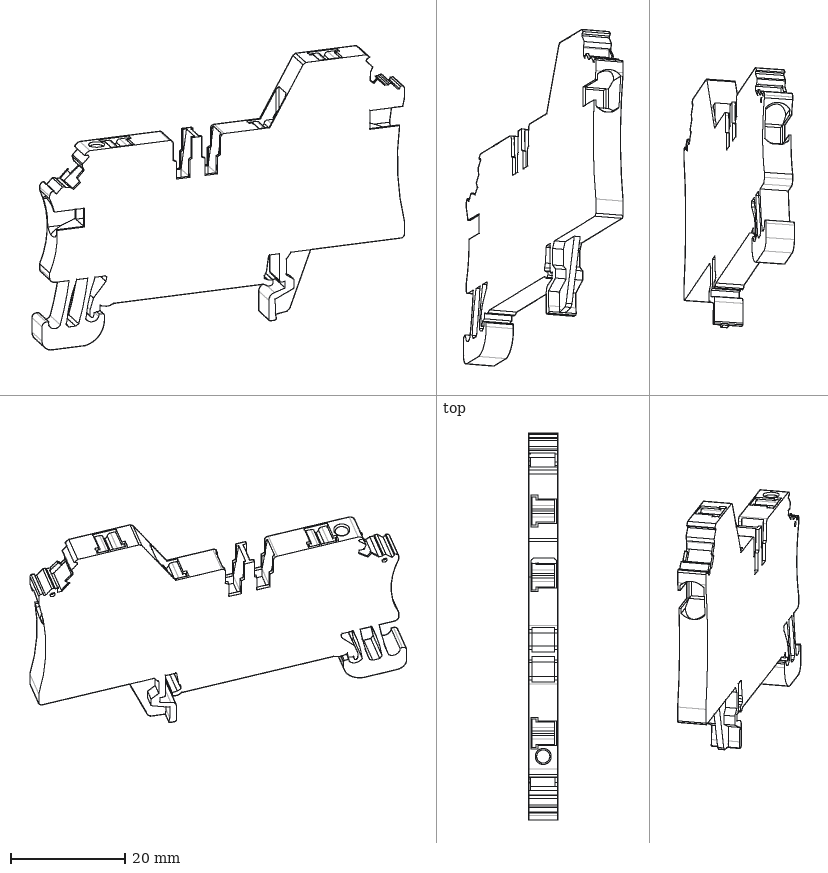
import cadquery as cq

WIDTH = 5.1
LENGTH = 67.83
HEIGHT = 47.55

BODY_FLOOR = 12.53
BASE_FLOOR = 7.2
DECK = 36.25
NEAR_END = 1.43
SLOPE_FOOT_Y = 42.6
SLOPE_HEAD_Y = 49.0
TIP_CHAMFER = 0.35
CORNER_CHAMFER = 0.45
CORNER_RADIUS = 0.95
ARC_OFFSET = 1 - 0.5 ** 0.5


def extrude_across(sketch, x_from=0.0, x_to=WIDTH):
    """Extrude a closed sketch of the YZ plane between two X positions."""
    return sketch.extrude(x_to - x_from).translate((x_from, 0, 0))


def plate(points, x_from=0.0, x_to=WIDTH):
    """Prism across the thickness over a straight-sided outline of (Y, Z) points."""
    return extrude_across(cq.Workplane("YZ").polyline(points).close(), x_from, x_to)


def box(x_from, x_to, y_from, y_to, z_from, z_to):
    """Axis-aligned box between pairs of limits."""
    size = (x_to - x_from, y_to - y_from, z_to - z_from)
    return cq.Workplane("XY").box(*size, centered=False).translate((x_from, y_from, z_from))


HIGH_EDGE = [
    (60.64, HEIGHT), (61.33, 47.0), (60.75, 46.7), (60.66, 46.41), (61.88, 45.09),
    (61.48, 44.23), (61.48, 44.03), (64.11, 41.42), (64.77, 41.42), (65.01, 41.6),
    (65.44, 41.6), (66.56, 40.38), (66.9, 40.38), (67.03, 40.85), (67.58, 40.85), (LENGTH, 40.5),
]
LOW_EDGE = [
    (2.3, 29.4), (2.68, 28.97), (3.82, 30.13), (4.31, 30.13),
    (4.44, 29.93), (5.17, 29.93), (7.85, 32.7), (7.5, 33.7), (7.59, 33.95),
    (8.81, 35.14), (8.62, 35.45), (7.98, 35.45),
]
FAR_WAIST = (66.5, 27.07)
FAR_ARC_TOP = 38.6
FAR_ARC_FLOOR = 2 * FAR_WAIST[1] - FAR_ARC_TOP
NEAR_WAIST = (2.85, 21.3)
NEAR_ARC_TOP = 28.2
NEAR_ARC_FLOOR = 2 * NEAR_WAIST[1] - NEAR_ARC_TOP
NOSE_START = (NEAR_END, 28.7)
NOSE_MIDDLE = (1.6, 29.25)
NOSE_TIP = (2.2, 29.65)
DECK_ROUND_MIDDLE = (8.4, 35.98)
DECK_ROUND_END = (8.95, DECK)


def make_main_plate():
    outline = (
        cq.Workplane("YZ")
        .moveTo(SLOPE_FOOT_Y, DECK)
        .lineTo(SLOPE_HEAD_Y - TIP_CHAMFER / 2, HEIGHT - TIP_CHAMFER)
        .lineTo(SLOPE_HEAD_Y + TIP_CHAMFER, HEIGHT)
    )
    for point in HIGH_EDGE:
        outline = outline.lineTo(*point)
    outline = (
        outline.lineTo(LENGTH, FAR_ARC_TOP)
        .threePointArc(FAR_WAIST, (LENGTH, FAR_ARC_FLOOR))
        .lineTo(LENGTH, BODY_FLOOR + CORNER_CHAMFER)
        .lineTo(LENGTH - CORNER_CHAMFER, BODY_FLOOR)
        .lineTo(NEAR_END + CORNER_RADIUS, BODY_FLOOR)
        .threePointArc(
            (NEAR_END + CORNER_RADIUS * ARC_OFFSET, BODY_FLOOR + CORNER_RADIUS * ARC_OFFSET),
            (NEAR_END, BODY_FLOOR + CORNER_RADIUS),
        )
        .lineTo(NEAR_END, NEAR_ARC_FLOOR)
        .threePointArc(NEAR_WAIST, (NEAR_END, NEAR_ARC_TOP))
        .lineTo(*NOSE_START)
        .threePointArc(NOSE_MIDDLE, NOSE_TIP)
    )
    for point in LOW_EDGE:
        outline = outline.lineTo(*point)
    outline = outline.threePointArc(DECK_ROUND_MIDDLE, DECK_ROUND_END)
    return extrude_across(outline.close())


FOOT_LINE = [
    (46.6, BODY_FLOOR), (45.71, 11.35), (45.71, 8.39), (47.13, 7.41), (47.13, 5.74),
    (43.6, 4.15), (43.68, 1.5), (43.86, 0.44), (43.52, 0.21), (42.61, 0.21), (42.42, 0.44),
]
FOOT_BEND_START = (42.42, 4.1)
FOOT_BEND_MIDDLE = (42.8, 5.0)
FOOT_BEND_END = (43.5, 5.4)
FOOT_HOOK_FLOOR = (45.49, 6.0)
FOOT_HOOK_TOP = (45.49, BASE_FLOOR)
FOOT_INNER_Y = 44.46
FOOT_CORNER_TOP = (FOOT_INNER_Y, 7.5)
FOOT_CORNER_END = (44.56, BASE_FLOOR)
WEB_OUTLINE = [
    (51.3, BODY_FLOOR), (47.13, 1.35), (46.55, 0.82), (43.8, 0.44),
    (43.6, 4.15), (47.13, 5.74), (47.13, 7.41), (45.71, 8.39), (45.71, BODY_FLOOR),
]
WEB_RECESS = 2.0


def make_rail_foot():
    outline = cq.Workplane("YZ").moveTo(FOOT_INNER_Y, BODY_FLOOR)
    for point in FOOT_LINE + [FOOT_BEND_START]:
        outline = outline.lineTo(*point)
    outline = (
        outline.threePointArc(FOOT_BEND_MIDDLE, FOOT_BEND_END)
        .lineTo(*FOOT_HOOK_FLOOR)
        .lineTo(*FOOT_HOOK_TOP)
        .lineTo(*FOOT_CORNER_END)
        .lineTo(*FOOT_CORNER_TOP)
        .close()
    )
    web = plate(WEB_OUTLINE, WEB_RECESS, WIDTH - WEB_RECESS)
    return extrude_across(outline).union(web)


BASE_LIP = [
    (42.58, BODY_FLOOR), (42.39, 12.26), (42.01, 9.53), (41.6, 8.77), (41.6, 8.24), (42.31, 7.9),
    (43.22, 7.79), (43.22, 7.1), (42.84, 6.77), (42.16, 6.77), (41.48, BASE_FLOOR),
]
BASE_HOOK = [
    (13.47, BASE_FLOOR), (12.56, 6.85), (12.03, 6.85), (11.2, 7.0), (10.89, BASE_FLOOR),
    (10.85, 6.16), (9.76, 5.94), (9.6, 5.13), (9.23, 5.13), (9.01, 5.44), (9.01, 6.65),
    (9.62, 8.7), (11.95, 11.5), (12.1, 12.3), (11.88, BODY_FLOOR),
]


def make_base_block():
    return plate(BASE_LIP + BASE_HOOK)


REAR_LEG_OUTER = [(9.91, BODY_FLOOR), (8.85, 9.0), (8.2, 5.0)]
REAR_LEG_INNER = [(8.55, BODY_FLOOR), (7.75, 7.8), (6.85, 4.25)]
FRONT_LEG_OUTER = [(6.5, BODY_FLOOR), (5.2, 8.2), (4.55, 4.5)]
FRONT_LEG_INNER = [(5.05, BODY_FLOOR), (4.35, 8.4), (3.4, 4.5)]
SHOE_HEIGHT = 5.33
SHOE_CORNER = 1.86
SHOE_TIP_RADIUS = 0.8
SHOE_TIP_WIDTH = 1.27
SHOE_TOE_HOLLOW = (2.45, 3.9)
SHOE_FLAT_Y = (4.98, 6.27)
SHOE_FLAT_Z = 3.89
SHOE_HOLLOW = (9.3, 4.3)
SHOE_HEEL = [(10.6, 5.13), (10.68, 5.6), (11.5, 5.54), (11.68, 5.29), (11.68, 4.6)]
SHOE_BELLY_MIDDLE = (10.6, 1.45)
SHOE_BELLY_END = (8.01, 0)


def make_clip_leg(outer, inner):
    outline = (
        cq.Workplane("YZ")
        .moveTo(*outer[0])
        .threePointArc(outer[1], outer[2])
        .lineTo(*inner[2])
        .threePointArc(inner[1], inner[0])
        .close()
    )
    return extrude_across(outline)


def make_clip_shoe():
    outline = (
        cq.Workplane("YZ")
        .moveTo(*REAR_LEG_OUTER[2])
        .threePointArc(SHOE_HOLLOW, SHOE_HEEL[0])
    )
    for point in SHOE_HEEL[1:]:
        outline = outline.lineTo(*point)
    outline = (
        outline.threePointArc(SHOE_BELLY_MIDDLE, SHOE_BELLY_END)
        .lineTo(SHOE_CORNER, 0)
        .threePointArc((SHOE_CORNER * ARC_OFFSET, SHOE_CORNER * ARC_OFFSET), (0, SHOE_CORNER))
        .lineTo(0, SHOE_HEIGHT - SHOE_TIP_RADIUS)
        .threePointArc(
            (SHOE_TIP_RADIUS * ARC_OFFSET, SHOE_HEIGHT - SHOE_TIP_RADIUS * ARC_OFFSET),
            (SHOE_TIP_RADIUS, SHOE_HEIGHT),
        )
        .lineTo(SHOE_TIP_WIDTH, SHOE_HEIGHT)
        .threePointArc(SHOE_TOE_HOLLOW, FRONT_LEG_INNER[2])
        .lineTo(*FRONT_LEG_OUTER[2])
        .lineTo(SHOE_FLAT_Y[0], SHOE_FLAT_Z)
        .lineTo(SHOE_FLAT_Y[1], SHOE_FLAT_Z)
        .lineTo(*REAR_LEG_INNER[2])
        .close()
    )
    return extrude_across(outline)


def make_spring_clip():
    clip = make_clip_shoe()
    clip = clip.union(make_clip_leg(REAR_LEG_OUTER, REAR_LEG_INNER))
    return clip.union(make_clip_leg(FRONT_LEG_OUTER, FRONT_LEG_INNER))


SEAT_X = (0.3, 4.6)
HIGH_SEAT = [
    (64.3, 41.8), (64.35, 40.38), (63.58, 40.38), (61.4, 42.7), (61.48, 44.03),
]
HIGH_SEAT_OPEN_END = [(62.92, 42.9), (62.12, 42.04), (61.4, 42.7), (61.48, 44.03), (61.7, 44.1)]
HIGH_SEAT_WINDOW = [
    (62.92, 42.64), (62.12, 42.04), (63.58, 40.38), (64.35, 40.38), (64.35, 41.25),
]
LOW_SEAT = [(7.5, 33.3), (7.85, 32.78), (8.81, 32.78), (8.81, 31.96), (5.9, 29.45), (5.17, 29.93)]
LOW_SEAT_OPEN_END = [(6.5, 31.6), (7.16, 30.54), (5.9, 29.45), (5.17, 29.93), (5.0, 30.1)]
LOW_SEAT_WINDOW = [(7.9, 32.78), (8.81, 32.78), (8.81, 31.96), (7.16, 30.54), (6.5, 31.3)]
DIMPLE_CENTERS = [(65.28, 40.05), (4.07, 28.69)]
DIMPLE_DIAMETER = 0.9
DIMPLE_DEPTH = 0.5


def make_edge_cuts():
    cuts = plate(HIGH_SEAT, *SEAT_X).union(plate(LOW_SEAT, *SEAT_X))
    for window in (HIGH_SEAT_WINDOW, LOW_SEAT_WINDOW):
        cuts = cuts.union(plate(window, 0, SEAT_X[0]))
    for open_end in (HIGH_SEAT_OPEN_END, LOW_SEAT_OPEN_END):
        cuts = cuts.union(plate(open_end, SEAT_X[1], WIDTH))
    dimples = cq.Workplane("YZ").pushPoints(DIMPLE_CENTERS).circle(DIMPLE_DIAMETER / 2)
    return cuts.union(dimples.extrude(DIMPLE_DEPTH))


CUT_CLEARANCE = 1.0
CHANNEL_X = (0.6, 4.5)
CHANNEL_FLOOR = 27.0
TAPER_END = 28.9
TAPER = 1.0
JUMPER_CHANNELS = [(29.5, 33.75), (24.2, 28.7)]
WIDE_OPENINGS = [(29.88, 33.4), (24.56, 28.04)]
NARROW_OPENINGS = [(30.5, 32.8), (25.17, 27.63)]
OPENING_STEP_Z = 32.1
STEP_CHAMFER = 0.3
RIM_RADIUS = 0.7


def make_jumper_cut(channel, wide, narrow):
    above = DECK + CUT_CLEARANCE
    cut = plate(
        [
            (channel[0], above), (channel[0], DECK), (channel[0] + TAPER, TAPER_END),
            (channel[0] + TAPER, CHANNEL_FLOOR), (channel[1] - TAPER, CHANNEL_FLOOR),
            (channel[1] - TAPER, TAPER_END), (channel[1], DECK), (channel[1], above),
        ],
        *CHANNEL_X,
    )
    opening = [
        (wide[0], above), (wide[0], OPENING_STEP_Z + STEP_CHAMFER),
        (narrow[0], OPENING_STEP_Z), (narrow[0], TAPER_END),
        (narrow[1], TAPER_END), (narrow[1], OPENING_STEP_Z),
        (wide[1], OPENING_STEP_Z + STEP_CHAMFER), (wide[1], above),
    ]
    for wall in ((0, CHANNEL_X[0]), (CHANNEL_X[1], WIDTH)):
        cut = cut.union(plate(opening, *wall))
    return cut


def make_rim_rounding():
    """Waste above the rounded deck edges at the two outer ends of the pair of openings."""
    waste = []
    for edge_y, outward in ((WIDE_OPENINGS[0][1], 1), (WIDE_OPENINGS[1][0], -1)):
        middle = (edge_y + outward * RIM_RADIUS * ARC_OFFSET, DECK - RIM_RADIUS * ARC_OFFSET)
        corner = (
            cq.Workplane("YZ")
            .moveTo(edge_y, DECK)
            .lineTo(edge_y, DECK - RIM_RADIUS)
            .threePointArc(middle, (edge_y + outward * RIM_RADIUS, DECK))
            .close()
        )
        waste.append(extrude_across(corner))
    return waste[0].union(waste[1])


ENTRY_X = (0.4, 4.7)
ENTRY_HEIGHT = 7.4
ENTRY_END_RISE = 1.0
ENTRY_HOLE_X = (0.8, 4.65)
ENTRY_HOLE_HEIGHT = 3.5
ENTRY_FUNNEL_START = 1.2
ENTRY_FUNNEL_END = 6.5
ENTRY_DEPTH = 8.0
NEAR_ENTRY_Z = 23.9
FAR_ENTRY_Z = 35.3


def make_conductor_entry():
    half_height = ENTRY_HEIGHT / 2
    half_hole = ENTRY_HOLE_HEIGHT / 2
    side = half_height - ENTRY_END_RISE
    middle_x = sum(ENTRY_X) / 2
    mouth = (
        cq.Workplane("XZ")
        .moveTo(ENTRY_X[0], -side)
        .threePointArc((middle_x, -half_height), (ENTRY_X[1], -side))
        .lineTo(ENTRY_X[1], side)
        .threePointArc((middle_x, half_height), (ENTRY_X[0], side))
        .close()
        .extrude(-ENTRY_DEPTH)
    )
    funnel = plate(
        [
            (0, -half_height), (ENTRY_FUNNEL_START, -half_height), (ENTRY_FUNNEL_END, -half_hole),
            (ENTRY_FUNNEL_END, half_hole), (ENTRY_FUNNEL_START, half_height), (0, half_height),
        ]
    )
    hole = box(*ENTRY_HOLE_X, 0, ENTRY_DEPTH, -half_hole, half_hole)
    open_side = box(ENTRY_HOLE_X[1], WIDTH, 0, ENTRY_FUNNEL_END, -half_hole, half_hole)
    return mouth.intersect(funnel).union(hole).union(open_side)


def make_conductor_entries():
    entry = make_conductor_entry()
    near_entry = entry.translate((0, NEAR_END, NEAR_ENTRY_Z))
    far_entry = entry.mirror("XZ").translate((0, LENGTH, FAR_ENTRY_Z))
    return near_entry.union(far_entry)


PROBE_CENTER = (WIDTH / 2, 11.15)
PROBE_DIAMETER = 2.3
PROBE_RIM_DIAMETER = 2.8
PROBE_RIM_DEPTH = 0.4
PROBE_DEPTH = 4.0


def make_probe_hole():
    mouth = cq.Workplane("XY").workplane(offset=DECK).center(*PROBE_CENTER)
    rim = mouth.circle(PROBE_RIM_DIAMETER / 2).workplane(offset=-PROBE_RIM_DEPTH)
    rim = rim.circle(PROBE_DIAMETER / 2).loft()
    return rim.union(mouth.circle(PROBE_DIAMETER / 2).extrude(-PROBE_DEPTH))


BUTTON_X = (0.6, 4.5)
BUTTON_LENGTH = 3.9
KEY_LENGTH = 4.95
KEY_WIDTH = 0.7
WELL_X = (0.4, 4.85)
WELL_LENGTH = 4.3
WELL_KEY_LENGTH = 5.55
WELL_KEY_WIDTH = 1.2
BUTTON_HEIGHT = 5.0
BUTTON_RECESS = 0.25
SHOULDER_RADIUS = 0.6
SLOT_WIDTH = 0.8
SLOT_DEPTH = 0.6

SLOPE_BUTTON_Y = 42.83
BUTTON_SITES = [(54.15, HEIGHT), (SLOPE_BUTTON_Y, DECK), (15.2, DECK)]


def make_keyed_block(x_range, length, key_length, key_width, z_from, z_to):
    """Box centred on Y = 0 with a narrow key tongue at each end of its -X side."""
    block = box(*x_range, -length / 2, length / 2, z_from, z_to)
    key = box(x_range[0], x_range[0] + key_width, -key_length / 2, key_length / 2, z_from, z_to)
    return block.union(key)


def make_well(center_y, top):
    well = make_keyed_block(
        WELL_X, WELL_LENGTH, WELL_KEY_LENGTH, WELL_KEY_WIDTH, top - BUTTON_HEIGHT - BUTTON_RECESS, top
    )
    return well.translate((0, center_y, 0))


def make_button(center_y, top):
    button_top = top - BUTTON_RECESS
    button = make_keyed_block(
        BUTTON_X, BUTTON_LENGTH, KEY_LENGTH, KEY_WIDTH, button_top - BUTTON_HEIGHT, button_top
    )
    half_slot = SLOT_WIDTH / 2
    half_groove = half_slot + SHOULDER_RADIUS
    drop = SHOULDER_RADIUS * 0.5 ** 0.5
    shoulder_floor = button_top - SHOULDER_RADIUS
    groove = (
        cq.Workplane("YZ")
        .moveTo(-half_groove, button_top)
        .threePointArc((-half_groove + drop, shoulder_floor + drop), (-half_slot, shoulder_floor))
        .lineTo(0, shoulder_floor - SLOT_DEPTH)
        .lineTo(half_slot, shoulder_floor)
        .threePointArc((half_groove - drop, shoulder_floor + drop), (half_groove, button_top))
        .close()
    )
    return button.cut(extrude_across(groove)).translate((0, center_y, 0))


NOTCH_BACK_Y = 45.9
NOTCH_LEDGE_Z = 37.7
NOTCH_CORNER_CHAMFER = 0.4
NOTCH_OPEN_Y = SLOPE_FOOT_Y - 1
NOTCH_FRONT_Y = SLOPE_BUTTON_Y + WELL_LENGTH / 2


def make_slope_notch():
    notch = plate(
        [
            (NOTCH_BACK_Y, HEIGHT), (NOTCH_BACK_Y, NOTCH_LEDGE_Z), (NOTCH_FRONT_Y, DECK),
            (NOTCH_OPEN_Y, DECK), (NOTCH_OPEN_Y, HEIGHT),
        ],
        *WELL_X,
    )
    return notch.faces(">Y").edges("|Z").chamfer(NOTCH_CORNER_CHAMFER)


def make_housing():
    housing = make_main_plate()
    for piece in (make_rail_foot(), make_base_block(), make_spring_clip()):
        housing = housing.union(piece)
    housing = housing.cut(make_edge_cuts())
    for spans in zip(JUMPER_CHANNELS, WIDE_OPENINGS, NARROW_OPENINGS):
        housing = housing.cut(make_jumper_cut(*spans))
    for cut in (make_rim_rounding(), make_conductor_entries(), make_probe_hole(), make_slope_notch()):
        housing = housing.cut(cut)
    for site in BUTTON_SITES:
        housing = housing.cut(make_well(*site))
    return housing


housing = make_housing()
buttons = [make_button(*site) for site in BUTTON_SITES]

result = cq.Compound.makeCompound([housing.val(), *[button.val() for button in buttons]])